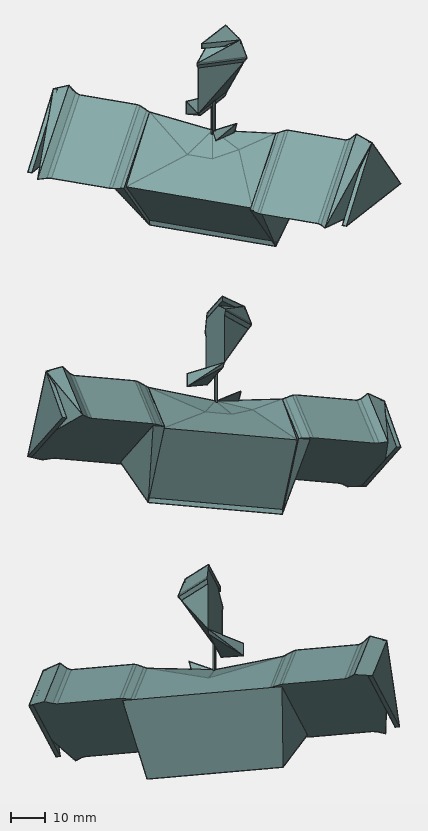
import cadquery as cq

overall_length = 101.0
overall_depth = 42.9
branch_top = 44.4

run_radius = 17.5
barrel_radius = 19.1
bead_radius = overall_depth / 2
mouth_radius = 19.6
bead_setback = 4.9
bead_foot_setback = 7.1
barrel_setback = 8.3
barrel_inner_x = 23.9
barrel_edge_x = 23.0
barrel_edge_radius = 18.9
shoulder_x = 20.9
shoulder_radius = 17.9
run_end_x = 20.0

keel_end_x = 23.4
front_corner = 16.0
saddle_height = 15.2
facet_low_x = -4.8
facet_mid_x = 3.0
facet_high_x = 10.1
facet_low_z = 9.2
facet_high_z = 12.1
facet_back_z = 8.7

branch_radius = 9.9
branch_bead_radius = 10.8
branch_mouth_radius = 8.8
branch_bead_setback = 4.9
branch_bead_width = 0.5
branch_barrel_setback = 6.7
branch_foot_z = 23.6

skirt_reach = 8.4
skirt_rim_half_width = 8.4
skirt_upper_z = 22.6
skirt_lower_z = 18.7

fin_root_depth = 0.2
fin_peak_x = 7.7
fin_peak_z = 18.5
fin_heel_x = 7.0
fin_heel_z = 15.6
fin_tip_x = 5.0
fin_reach = 8.7
fin_tip_z = 15.8

neck_thickness = 0.4
neck_width = 2.0
neck_root_depth = 2.0

run_seal_thickness = 1.3
run_seal_short_radius = 17.5
branch_seal_thickness = 1.5
branch_seal_short_radius = 7.5

half_length = overall_length / 2


def polyhedron(faces):
    """Solid bounded by flat faces, each given as a list of corner points."""
    sides = [cq.Face.makeFromWires(cq.Wire.makePolygon(corners, close=True)) for corners in faces]
    solid = cq.Solid.makeSolid(cq.Shell.makeShell(sides))
    return cq.Workplane(solid.fix())


def on_left_run(along, side, crown):
    """Point of a run end: distance out along -X, side along Y, crown along Z."""
    return cq.Vector(-along, side, crown)


def on_branch(along, side, crown):
    """Point of the branch: distance up along Z, side along Y, crown along X."""
    return cq.Vector(crown, side, along)


def triangle(place, along, radius, short_radius=None):
    """Half-square section; the -Y corner may sit at a smaller radius."""
    short = radius if short_radius is None else short_radius
    return [place(along, radius, 0), place(along, 0, radius), place(along, -short, 0)]


def prism_between(lower, upper):
    """Solid between two parallel, similar triangles."""
    sides = [[lower[i], lower[i - 1], upper[i - 1], upper[i]] for i in range(3)]
    return polyhedron([lower, upper, *sides])


def mouth_flare(place, bead_at, bead, end_at, mouth):
    """Outermost part of a socket: its -Y side runs back from the axis to the bead corner."""
    left, top, right = triangle(place, bead_at, bead)
    end_left, end_top, end_axis = triangle(place, end_at, mouth, 0)
    return polyhedron([
        [left, top, right],
        [end_left, end_top, end_axis],
        [left, top, end_top, end_left],
        [top, right, end_top],
        [right, end_axis, end_top],
        [left, right, end_axis, end_left],
    ])


def seal_plate(place, end_at, thickness, radius, short_radius):
    return prism_between(
        triangle(place, end_at - thickness, radius, short_radius),
        triangle(place, end_at, radius, short_radius),
    )


def run_socket():
    stations = [
        (run_end_x, run_radius),
        (shoulder_x, shoulder_radius),
        (barrel_edge_x, barrel_edge_radius),
        (barrel_inner_x, barrel_radius),
        (half_length - barrel_setback, barrel_radius),
        (half_length - bead_foot_setback, mouth_radius),
        (half_length - bead_setback, bead_radius),
    ]
    sections = [triangle(on_left_run, along, radius) for along, radius in stations]
    socket = mouth_flare(
        on_left_run, half_length - bead_setback, bead_radius, half_length, mouth_radius
    )
    for inner, outer in zip(sections, sections[1:]):
        socket = socket.union(prism_between(inner, outer))
    return socket


def run_keel():
    """Lower half of the run, with ends that slope inwards to the bottom edge."""
    left = [(-keel_end_x, run_radius, 0), (-run_end_x, 0, -run_radius), (-keel_end_x, -run_radius, 0)]
    right = [(-x, y, z) for x, y, z in left]
    sides = [[left[i], left[i - 1], right[i - 1], right[i]] for i in range(3)]
    return polyhedron([left, right, *sides]).cut(keel_recess())


def keel_recess():
    """Layer taken off the front side between the end walls, leaving a lip along the bottom edge."""
    return (
        cq.Workplane("YZ")
        .polyline([(-run_radius, 0), (-front_corner, 0), (0, -front_corner), (0, -run_radius)])
        .close()
        .extrude(run_end_x, both=True)
    )


def run_saddle():
    """Upper half of the run, dented by the facets below the branch."""
    saddle = (0, 0, saddle_height)
    left_ridge = (-run_end_x, 0, run_radius)
    right_ridge = (run_end_x, 0, run_radius)
    left_front = (-run_end_x, -front_corner, 0)
    right_front = (run_end_x, -front_corner, 0)
    left_back = (-run_end_x, run_radius, 0)
    right_back = (run_end_x, run_radius, 0)
    front_low = (facet_low_x, facet_low_z - front_corner, facet_low_z)
    front_mid = (facet_mid_x, facet_low_z - front_corner, facet_low_z)
    front_high = (facet_high_x, facet_high_z - front_corner, facet_high_z)
    back_mid = (0, run_radius - facet_back_z, facet_back_z)
    return polyhedron([
        [left_front, right_front, front_high, front_mid, front_low],
        [left_front, front_low, left_ridge],
        [front_low, saddle, left_ridge],
        [front_low, front_mid, saddle],
        [front_mid, front_high, saddle],
        [front_high, right_ridge, saddle],
        [front_high, right_front, right_ridge],
        [left_back, right_back, back_mid],
        [left_back, back_mid, left_ridge],
        [back_mid, saddle, left_ridge],
        [back_mid, right_ridge, saddle],
        [back_mid, right_back, right_ridge],
        [left_front, left_ridge, left_back],
        [right_front, right_ridge, right_back],
        [left_front, right_front, right_back, left_back],
    ])


def saddle_fin():
    """Small four-sided fin on the +X slope of the saddle."""
    root = (0, 0, saddle_height - fin_root_depth)
    peak = (fin_peak_x, 0, fin_peak_z)
    heel = (fin_heel_x, 0, fin_heel_z)
    front_tip = (fin_tip_x, -fin_reach, fin_tip_z)
    return polyhedron([
        [root, peak, heel],
        [root, peak, front_tip],
        [root, heel, front_tip],
        [peak, heel, front_tip],
    ])


def branch_skirt(foot_back, foot_front):
    """Pointed skirt that leans out towards -X below the foot of the branch."""
    rim_back = (0, skirt_rim_half_width, skirt_upper_z)
    rim_front = (0, -skirt_rim_half_width, skirt_upper_z)
    tip_upper = (-skirt_reach, 0, skirt_upper_z)
    tip_lower = (-skirt_reach, 0, skirt_lower_z)
    return polyhedron([
        [foot_back, foot_front, tip_upper],
        [foot_back, foot_front, rim_front, rim_back],
        [foot_back, rim_back, tip_lower],
        [foot_back, tip_lower, tip_upper],
        [foot_front, rim_front, tip_lower],
        [foot_front, tip_lower, tip_upper],
        [rim_back, rim_front, tip_lower],
    ])


def branch():
    barrel = triangle(on_branch, branch_top - branch_barrel_setback, branch_radius)
    bead_z = branch_top - branch_bead_setback
    bead = triangle(on_branch, bead_z, branch_bead_radius)
    bead_foot = triangle(on_branch, bead_z - branch_bead_width, branch_bead_radius)
    back, crown, front = barrel
    foot_back = on_branch(branch_foot_z, branch_radius, 0)
    foot_front = on_branch(branch_foot_z, -branch_radius, 0)
    wedge = polyhedron([
        barrel,
        [back, front, foot_front, foot_back],
        [back, crown, foot_back],
        [front, crown, foot_front],
        [crown, foot_front, foot_back],
    ])
    skirt = branch_skirt(foot_back, foot_front)
    flare = mouth_flare(on_branch, bead_z, branch_bead_radius, branch_top, branch_mouth_radius)
    body = wedge
    for part in (skirt, prism_between(barrel, bead_foot), prism_between(bead_foot, bead), flare):
        body = body.union(part)
    return body


def neck():
    """Thin blade joining the branch to the lowest point of the ridge."""
    bottom = saddle_height - neck_root_depth
    height = branch_foot_z + neck_thickness - bottom
    return cq.Workplane("XY").workplane(offset=bottom).box(
        neck_thickness, neck_width, height, centered=(False, True, False)
    )


left_seal = seal_plate(on_left_run, half_length, run_seal_thickness, mouth_radius, run_seal_short_radius)
branch_seal = seal_plate(
    on_branch, branch_top, branch_seal_thickness, branch_mouth_radius, branch_seal_short_radius
)
seals = [left_seal, left_seal.mirror("YZ"), branch_seal]

tee = run_saddle().union(run_keel())
left_socket = run_socket()
for feature in (left_socket, left_socket.mirror("YZ"), saddle_fin(), neck(), branch()):
    tee = tee.union(feature)
for seal in seals:
    tee = tee.cut(seal)

result = cq.Compound.makeCompound([*tee.solids().vals(), *[seal.val() for seal in seals]])